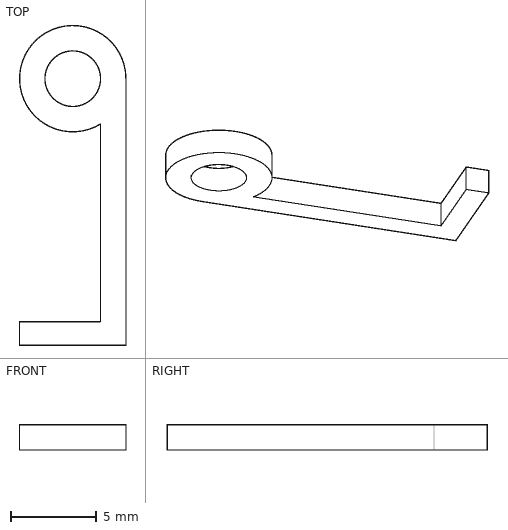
import cadquery as cq

thickness = 1.5
hole_diameter = 3.25
eye_diameter = 6.25
total_length = 18.77
arm_width = (eye_diameter - hole_diameter) / 2
foot_width = 1.4

eye_radius = eye_diameter / 2
foot_end_y = eye_radius - total_length
arm_inner_x = eye_radius - arm_width


def make_eye():
    """Round disc at the +Y end of the part."""
    return cq.Workplane("XY").circle(eye_radius).extrude(thickness)


def make_hook():
    """L-shaped arm and foot, with the arm starting level with the eye centre."""
    outline = [
        (eye_radius, 0),
        (eye_radius, foot_end_y),
        (-eye_radius, foot_end_y),
        (-eye_radius, foot_end_y + foot_width),
        (arm_inner_x, foot_end_y + foot_width),
        (arm_inner_x, 0),
    ]
    return cq.Workplane("XY").polyline(outline).close().extrude(thickness)


def make_hole():
    """Through hole of the eye."""
    return cq.Workplane("XY").circle(hole_diameter / 2).extrude(thickness)


result = make_eye().union(make_hook()).cut(make_hole())